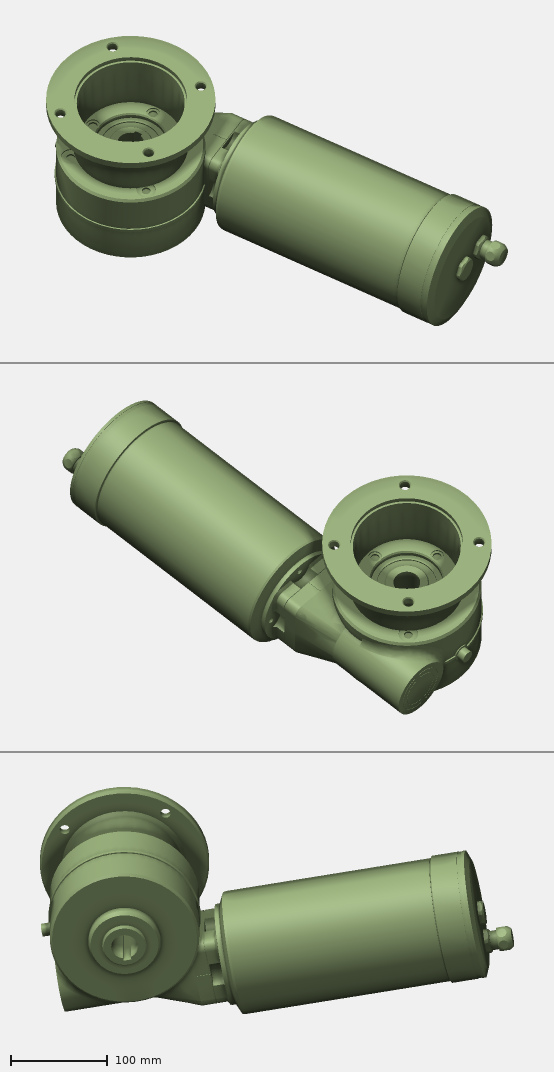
import cadquery as cq
import math

shaft_offset = 63.0

overall_length = 476.5

drum_radius = 77.0
drum_half_height = 45.5
drum_chamfer = 2.5
seam_width = 4.0
seam_rise = 1.5
drum_screw_circle_radius = 64.0

flange_radius = 175.0 / 2
flange_top = 116.5
flange_thickness = 10.0
flange_chamfer = 2.0
flange_bottom = flange_top - flange_thickness
neck_top_radius = 60.0
neck_bottom_radius = 59.5
neck_flare = 4.5
pilot_radius = 58.0
pilot_depth = 5.2
bore_top_radius = 55.8
bore_floor_radius = 54.0
bore_floor = 51.0
flange_hole_circle_radius = 75.0
flange_hole_diameter = 10.5
flange_countersink_diameter = 13.0

floor_screw_circle_radius = 45.5
floor_screw_diameter = 14.0
drum_screw_diameter = 20.0
screw_seat_depth = 1.5
socket_diameter = 9.0
socket_depth = 4.0

seat_radius = 75.0 / 2
seat_rim_radius = 77.5 / 2
seat_depth = 5.5
seal_inner_radius = 31.0
seal_outer_radius = 33.0
seal_height = 1.5
shaft_radius = 46.0 / 2
shaft_chamfer = 1.5
shaft_bottom = -61.0
shaft_top = bore_floor - 2.5
shaft_bore_radius = 14.0
key_width = 8.0
key_top = 16.0
boss_radius = seat_radius
boss_shoulder = -51.5
boss_bottom = -56.5
boss_chamfer = 2.5

worm_start = -79.0
worm_radius = 32.5
worm_blend = 10.5
blend_end = -9.5
worm_trim = 15.0
worm_cover_radius = 52.0 / 2
worm_cap_radius = 20.0
cover_line_width = 0.5
cover_line_depth = 0.5
transition_start = 15.2
plate_start = 63.0
plate_end = 78.0
plate_half_width = 38.0
plate_corner_radius = 9.5
plate_seam_width = 3.0
plate_seam_rise = 0.5
plate_gap = 1.0
plate_gap_depth = 1.0
adapter_start = 92.5
adapter_flare = 3.0
adapter_radius = 53.0
adapter_screw_radius = 43.0
adapter_screw_diameter = 6.5
adapter_screw_depth = 3.0
notch_radius = 14.0

motor_start = 97.0
motor_radius = 64.5
motor_nose_end = 105.0
motor_knee = 102.5
motor_knee_drop = 0.5
cap_start = 321.5
cap_radius = 133.0 / 2
cap_groove_start = 349.5
cap_groove_end = 353.5
cap_groove_depth = 0.5
cap_edge_start = 357.0
cap_end = 360.5
cap_end_radius = 57.0
cap_gap = 1.5
cap_gap_radius = 63.0

gland_y = shaft_offset + 34.5
hex_across_flats = 25.0
hex_rounding_radius = 13.5
base_length = 5.5
base_chamfer = 2.0
stem_radius = 10.0
head_start = 374.0
head_radius = 12.0
bulge_x = 380.0
head_chamfer = 4.0
gland_end = overall_length - flange_radius

plug_seat_radius = 9.0
plug_radius = 6.5
plug_seat_end = -78.0
plug_end = -86.5


def turned_x(points, y):
    """Revolve (x, radius) points about a line parallel to X at height Z = 0."""
    profile = cq.Workplane("XY").polyline([(px, r + y) for px, r in points]).close()
    return profile.revolve(360, (0, y, 0), (1, y, 0))


def turned_z(points):
    """Revolve (radius, z) points about the output axis."""
    return cq.Workplane("XZ").polyline(points).close().revolve(360, (0, 0, 0), (0, 1, 0))


def rod_x(start, end, radius, y):
    return cq.Workplane("YZ", origin=(start, y, 0)).circle(radius).extrude(end - start)


def rod_z(bottom, top, radius):
    return cq.Workplane("XY").workplane(offset=bottom).circle(radius).extrude(top - bottom)


def screw_seats(top, circle_radius, head_diameter, first_angle):
    """Four shallow screw seats with a deeper socket in the middle of each."""
    cutter = cq.Workplane("XY").workplane(offset=top)
    places = cutter.polarArray(circle_radius, first_angle, 360, 4)
    heads = places.circle(head_diameter / 2).extrude(-screw_seat_depth)
    sockets = places.circle(socket_diameter / 2).extrude(-socket_depth)
    return heads.union(sockets)


def rounded_square(half_width):
    """Square section with rounded corners, as used along the motor axis."""
    section = cq.Sketch().rect(2 * half_width, 2 * half_width)
    return section.vertices().fillet(plate_corner_radius)


def prism_x(section, start, end):
    return cq.Workplane("YZ", origin=(start, shaft_offset, 0)).placeSketch(section).extrude(end - start)


def loft_x(first, last, start, end):
    last = last.moved(cq.Location(cq.Vector(0, 0, end - start)))
    return cq.Workplane("YZ", origin=(start, shaft_offset, 0)).placeSketch(first, last).loft()


def worm_and_drum():
    """Drum crossed by the worm housing, with a rolling-ball blend where they meet.

    Drum and worm are blended over-long, so the blend touches only their sides, and then trimmed.
    """
    drum = rod_z(-2 * drum_half_height, 2 * drum_half_height, drum_radius)
    rough_start = worm_start - worm_trim
    worm = cq.Workplane("YZ", origin=(rough_start, shaft_offset, 0)).transformed(rotate=(0, 0, 180))
    worm = worm.circle(worm_radius).extrude(blend_end - rough_start)
    body = drum.union(worm).edges("%BSPLINE").fillet(worm_blend)
    width = 4 * drum_radius
    trim = cq.Workplane("XY").box(width, width, 2 * drum_half_height)
    trim = trim.translate((worm_start + width / 2, 0, 0))
    return body.intersect(trim).union(rod_x(worm_start, plate_start, worm_radius, shaft_offset))


def gearbox():
    body = worm_and_drum()
    rim = turned_z([
        (drum_radius - drum_chamfer, drum_half_height),
        (drum_radius, drum_half_height - drum_chamfer),
        (drum_radius, drum_half_height),
    ])
    body = body.cut(rim).cut(rim.mirror("XY"))
    body = body.union(rod_z(-seam_width / 2, seam_width / 2, drum_radius + seam_rise))
    seats = screw_seats(drum_half_height, drum_screw_circle_radius, drum_screw_diameter, 45)
    return body.cut(seats)


def worm_cover_line(radius):
    """Fine turned line on the end face of the worm housing."""
    start = cq.Workplane("YZ", origin=(worm_start, shaft_offset, 0))
    return start.circle(radius).circle(radius - cover_line_width).extrude(cover_line_depth)


def bottom_boss():
    boss = rod_z(boss_bottom, -drum_half_height, boss_radius)
    return boss.faces("<Z").chamfer(boss_shoulder - boss_bottom, boss_chamfer)


def neck_and_flange():
    outline = [
        (0, drum_half_height),
        (neck_bottom_radius, drum_half_height),
        (neck_top_radius, flange_bottom - neck_flare),
        (neck_top_radius + neck_flare, flange_bottom),
        (flange_radius - flange_chamfer, flange_bottom),
        (flange_radius, flange_bottom + flange_chamfer),
        (flange_radius, flange_top),
        (0, flange_top),
    ]
    return turned_z(outline)


def neck_bore():
    pilot_floor = flange_top - pilot_depth
    return turned_z([
        (0, bore_floor),
        (bore_floor_radius, bore_floor),
        (bore_top_radius, pilot_floor),
        (pilot_radius, pilot_floor),
        (pilot_radius, flange_top),
        (0, flange_top),
    ])


def flange_holes():
    plane = cq.Workplane("XY").workplane(offset=flange_top)
    places = plane.polarArray(flange_hole_circle_radius, 45, 360, 4)
    holes = places.circle(flange_hole_diameter / 2).extrude(-flange_thickness)
    depth = (flange_countersink_diameter - flange_hole_diameter) / 2
    places = plane.polarArray(flange_hole_circle_radius, 45, 360, 4)
    sinks = places.circle(flange_countersink_diameter / 2).extrude(-depth, taper=45)
    return holes.union(sinks)


def bearing_seat():
    """Recess in the neck floor around the output shaft, with a raised seal lip in it."""
    rim_depth = seat_rim_radius - seat_radius
    seat_floor = bore_floor - seat_depth
    return turned_z([
        (shaft_radius, bore_floor),
        (shaft_radius, seat_floor),
        (seal_inner_radius, seat_floor),
        (seal_inner_radius, seat_floor + seal_height),
        (seal_outer_radius, seat_floor + seal_height),
        (seal_outer_radius, seat_floor),
        (seat_radius, seat_floor),
        (seat_radius, bore_floor - rim_depth),
        (seat_rim_radius, bore_floor),
    ])


def shaft_end():
    shaft = rod_z(shaft_bottom, boss_bottom, shaft_radius)
    return shaft.faces("<Z").chamfer(shaft_chamfer)


def shaft_bore():
    bore = rod_z(shaft_bottom, bore_floor, shaft_bore_radius)
    key = cq.Workplane("XY").box(key_width, key_top, bore_floor - shaft_bottom, centered=(True, False, False))
    return bore.union(key.translate((0, 0, shaft_bottom)))


def shaft_top_relief():
    """Lowers the shaft end below the neck floor and bevels it."""
    return turned_z([
        (0, bore_floor),
        (0, shaft_top),
        (shaft_radius - shaft_chamfer, shaft_top),
        (shaft_radius, shaft_top - shaft_chamfer),
        (shaft_radius, bore_floor),
    ])


def oil_plug():
    seat = rod_x(plug_seat_end, 0, plug_seat_radius, 0)
    return seat.union(rod_x(plug_end, 0, plug_radius, 0))


def transition():
    """Round worm housing widening to the square plate."""
    circle = cq.Sketch().circle(worm_radius)
    return loft_x(circle, rounded_square(plate_half_width), transition_start, plate_start)


def adapter_plate():
    """Square plate with a narrow gap behind it and a low seam along its top and bottom."""
    plate = prism_x(rounded_square(plate_half_width), plate_start, plate_end)
    gap = prism_x(rounded_square(plate_half_width - plate_gap_depth), plate_end, plate_end + plate_gap)
    seam_height = 2 * (plate_half_width + plate_seam_rise)
    seam = prism_x(cq.Sketch().rect(plate_seam_width, seam_height), plate_start, plate_end)
    return plate.union(gap).union(seam)


def adapter_block():
    """Square block, flared towards the motor and notched beside each motor screw."""
    block_start = plate_end + plate_gap
    flare_start = adapter_start - adapter_flare
    section = rounded_square(plate_half_width)
    flared_section = rounded_square(plate_half_width + adapter_flare)
    block = prism_x(section, block_start, flare_start)
    block = block.union(loft_x(section, flared_section, flare_start, adapter_start))
    return block.cut(adapter_screw_cylinders(block_start, notch_radius, adapter_start - block_start))


def adapter_disc():
    disc = rod_x(adapter_start, motor_start, adapter_radius, shaft_offset)
    return disc.cut(adapter_screw_cylinders(adapter_start, adapter_screw_diameter / 2, adapter_screw_depth))


def adapter_screw_cylinders(start, radius, length):
    """Four cylinders on the motor screw circle."""
    places = cq.Workplane("YZ", origin=(start, shaft_offset, 0))
    return places.polarArray(adapter_screw_radius, 0, 360, 4).circle(radius).extrude(length)


def motor():
    groove_radius = cap_radius - cap_groove_depth
    outline = [
        (motor_start, 0),
        (motor_start, adapter_radius),
        (motor_knee, motor_radius - motor_knee_drop),
        (motor_nose_end, motor_radius),
        (cap_start - cap_gap, motor_radius),
        (cap_start - cap_gap, cap_gap_radius),
        (cap_start, cap_gap_radius),
        (cap_start, cap_radius),
        (cap_groove_start, cap_radius),
        (cap_groove_start, groove_radius),
        (cap_groove_end, groove_radius),
        (cap_groove_end, cap_radius),
        (cap_edge_start, cap_radius),
        (cap_end, cap_end_radius),
        (cap_end, 0),
    ]
    return turned_x(outline, shaft_offset)


def hex_prism_x(start, end, y):
    """Hexagonal prism with flats facing +Z and -Z."""
    across_corners = hex_across_flats / math.cos(math.pi / 6)
    return cq.Workplane("YZ", origin=(start, y, 0)).polygon(6, across_corners).extrude(end - start)


def hex_base(y):
    """Hexagon on the motor end, its corners rounded off and its outer end bevelled."""
    base_end = cap_end + base_length
    envelope = rod_x(cap_end, base_end, hex_rounding_radius, y).faces(">X").chamfer(base_chamfer)
    return hex_prism_x(cap_end, base_end, y).intersect(envelope)


def gland_head():
    """Round cap nut with a bulged band that carries six small round flats."""
    head = rod_x(head_start, gland_end, head_radius, gland_y).faces(">X").chamfer(head_chamfer)
    bulge = cq.Workplane("XY", origin=(bulge_x, gland_y, 0)).sphere(hex_rounding_radius)
    return head.union(bulge.intersect(hex_prism_x(head_start, gland_end, gland_y)))


def gland_and_vent():
    stem = rod_x(cap_end, head_start, stem_radius, gland_y)
    return hex_base(gland_y).union(stem).union(gland_head()).union(hex_base(shaft_offset))


solid_parts = [
    bottom_boss(),
    shaft_end(),
    neck_and_flange(),
    oil_plug(),
    transition(),
    adapter_plate(),
    adapter_block(),
    adapter_disc(),
    motor(),
    gland_and_vent(),
]
cutters = [
    neck_bore(),
    flange_holes(),
    screw_seats(bore_floor, floor_screw_circle_radius, floor_screw_diameter, 0),
    bearing_seat(),
    shaft_top_relief(),
    shaft_bore(),
    worm_cover_line(worm_cover_radius),
    worm_cover_line(worm_cap_radius),
]

result = gearbox()
for part in solid_parts:
    result = result.union(part)
for cutter in cutters:
    result = result.cut(cutter)